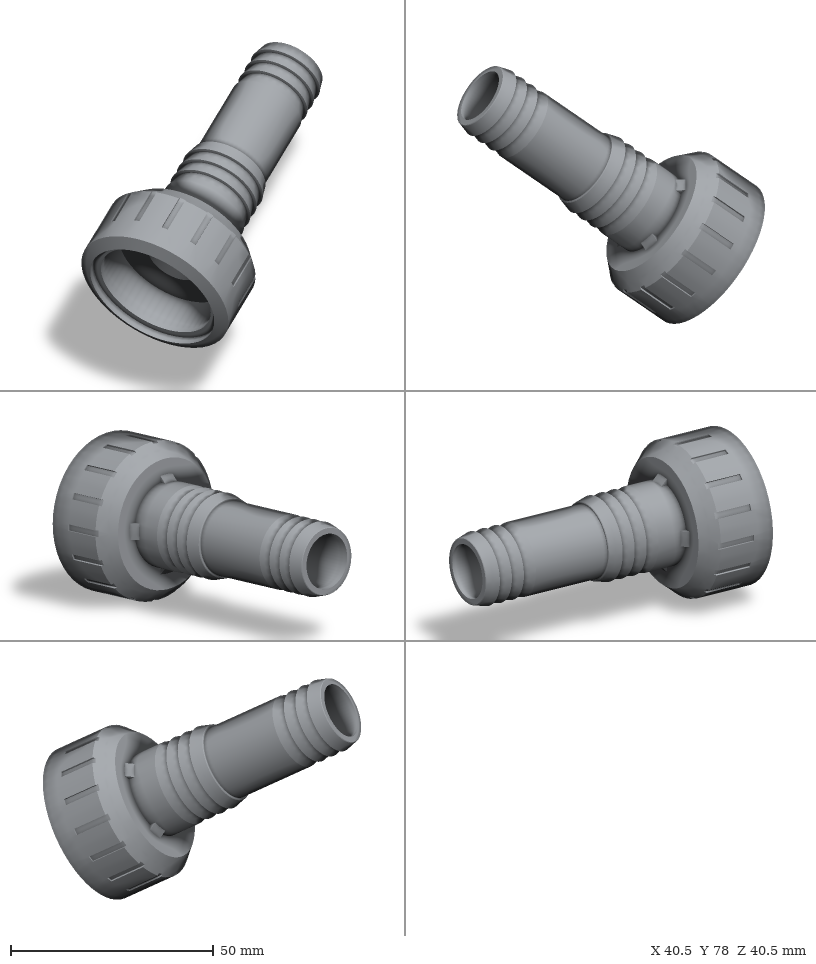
import cadquery as cq

TOTAL_LENGTH = 78.0

NUT_DIAMETER = 40.5
NUT_LENGTH = 21.0
NUT_MOUTH_DIAMETER = 34.2
NUT_REAR_DIAMETER = 33.3
MOUTH_CHAMFER_LENGTH = 1.5
REAR_TAPER_START = 16.7
COUNTERBORE_DEPTH = 2.0
NUT_BORE_DIAMETER = 30.3

SLOT_COUNT = 16
SLOT_WIDTH = 1.6
SLOT_DEPTH = 0.5
SLOT_START = 7.0

BORE_DIAMETER = 14.0
FLANGE_DIAMETER = 30.1
FLANGE_FACE = 12.0
FLANGE_THICKNESS = 3.9
FLANGE_BACK = FLANGE_FACE + FLANGE_THICKNESS

BARB_COUNT = 4
BARB_PITCH = 3.5
BARB_BACK_LENGTH = 0.15
LARGE_DIAMETER = 22.0
LARGE_ROOT_DIAMETER = 20.2
LARGE_BARBS_START = 29.0
SMALL_DIAMETER = 19.0
SMALL_ROOT_DIAMETER = 17.15
SMALL_BARBS_START = TOTAL_LENGTH - BARB_COUNT * BARB_PITCH

LUG_WIDTH = 4.1
LUG_HEIGHT = 1.6


def revolve_about_y(profile):
    """Turn a closed (radius, y) outline about the Y axis."""
    return cq.Workplane("XY").polyline(profile).close().revolve(360, (0, 0, 0), (0, 1, 0))


def barb_points(start, diameter, root_diameter):
    """Saw-tooth outline of one barb group, from its wide end toward the free end.

    Each ring ends in a short back that slopes up to the next ring. The last ring has no ring
    after it and ends in a chamfer of the same length instead.
    """
    points = []
    for index in range(BARB_COUNT):
        base = start + index * BARB_PITCH
        points.append((diameter / 2, base))
        points.append((root_diameter / 2, base + BARB_PITCH - BARB_BACK_LENGTH))
    points.append((root_diameter / 2 - BARB_BACK_LENGTH, start + BARB_COUNT * BARB_PITCH))
    return points


def make_grip_slots():
    """Cutter for the slots: radial bars that stop at a floor concentric with the nut."""
    length = NUT_LENGTH - SLOT_START
    bar = cq.Workplane("XY").box(NUT_DIAMETER / 2, length, SLOT_WIDTH)
    bar = bar.translate((NUT_DIAMETER / 2, SLOT_START + length / 2, 0))
    bars = cq.Workplane("XY")
    for index in range(SLOT_COUNT):
        bars = bars.add(bar.rotate((0, 0, 0), (0, 1, 0), index * 360 / SLOT_COUNT))
    floor_radius = NUT_DIAMETER / 2 - SLOT_DEPTH
    core = revolve_about_y([(0, 0), (floor_radius, 0), (floor_radius, NUT_LENGTH), (0, NUT_LENGTH)])
    return bars.combine().cut(core)


def make_nut():
    body = revolve_about_y([
        (NUT_MOUTH_DIAMETER / 2, 0),
        (NUT_DIAMETER / 2, MOUTH_CHAMFER_LENGTH),
        (NUT_DIAMETER / 2, REAR_TAPER_START),
        (NUT_REAR_DIAMETER / 2, NUT_LENGTH),
        (LARGE_DIAMETER / 2, NUT_LENGTH),
        (LARGE_DIAMETER / 2, FLANGE_BACK),
        (NUT_BORE_DIAMETER / 2, FLANGE_BACK),
        (NUT_BORE_DIAMETER / 2, COUNTERBORE_DEPTH),
        (NUT_MOUTH_DIAMETER / 2, COUNTERBORE_DEPTH),
    ])
    return body.cut(make_grip_slots())


def make_lugs():
    """Lugs cut from a ring that slopes at 45 degrees from the tail down to the nut."""
    core_radius = (BORE_DIAMETER + LARGE_DIAMETER) / 4
    tail_radius = LARGE_DIAMETER / 2
    ring = revolve_about_y([
        (core_radius, NUT_LENGTH),
        (tail_radius + LUG_HEIGHT, NUT_LENGTH),
        (tail_radius, NUT_LENGTH + LUG_HEIGHT),
        (core_radius, NUT_LENGTH + LUG_HEIGHT),
    ])
    bar = cq.Workplane("XY").box(NUT_DIAMETER, TOTAL_LENGTH, LUG_WIDTH).translate((0, TOTAL_LENGTH / 2, 0))
    return ring.intersect(bar.union(bar.rotate((0, 0, 0), (0, 1, 0), 90)))


def make_hose_tail():
    tail = revolve_about_y([
        (BORE_DIAMETER / 2, FLANGE_FACE),
        (FLANGE_DIAMETER / 2, FLANGE_FACE),
        (FLANGE_DIAMETER / 2, FLANGE_BACK),
        (LARGE_DIAMETER / 2, FLANGE_BACK),
        *barb_points(LARGE_BARBS_START, LARGE_DIAMETER, LARGE_ROOT_DIAMETER),
        (SMALL_DIAMETER / 2, LARGE_BARBS_START + BARB_COUNT * BARB_PITCH),
        *barb_points(SMALL_BARBS_START, SMALL_DIAMETER, SMALL_ROOT_DIAMETER),
        (BORE_DIAMETER / 2, TOTAL_LENGTH),
    ])
    return tail.union(make_lugs())


nut = make_nut()
hose_tail = make_hose_tail()

result = cq.Compound.makeCompound([nut.val(), hose_tail.val()])